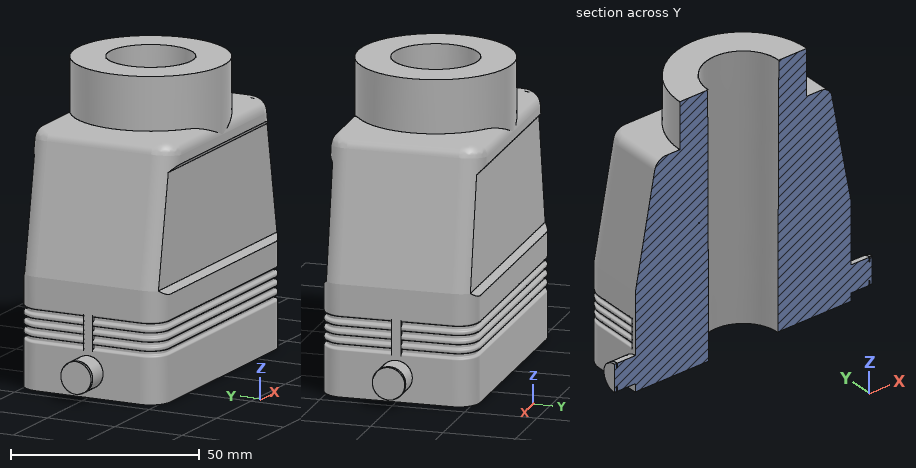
import cadquery as cq
import math

length_over_pins = 87.0
depth = 43.0
height = 85.0

body_length = 73.0
body_top = 70.0
skirt_top = 31.15
end_lean = 10.4
corner_radius = 6.0
top_edge_radius = 4.0

collar_radius = depth / 2
collar_base = body_top - top_edge_radius
bore_top_radius = 11.9
bore_bottom_radius = 11.6

panel_depth = 1.6
panel_bottom = skirt_top
panel_top = 62.2

groove_count = 4
groove_pitch = 2.5
groove_floor = 0.5
mouth_round = 0.5
floor_round = 0.35
groove_depth = mouth_round + floor_round
groove_band_center = 17.75
groove_gap = 2.6

pin_diameter = 9.0
pin_height = 7.05
slit_width = 0.1
slit_core_diameter = 6.0
pin_head = 0.9


def make_body():
    half = body_length / 2
    top_half = half - (body_top - skirt_top) * math.tan(math.radians(end_lean))
    outline = [
        (-half, 0),
        (half, 0),
        (half, skirt_top),
        (top_half, body_top),
        (-top_half, body_top),
        (-half, skirt_top),
    ]
    block = cq.Workplane("XZ").polyline(outline).close().extrude(depth / 2, both=True)
    rounded = block.faces("<Y or >Y").edges("not(|X)").fillet(corner_radius)
    return rounded.faces(">Z").edges().fillet(top_edge_radius)


def make_panel_cutter(side):
    """Prism along X with 45 degree flanks that sinks one long side (side is -1 or 1)."""
    face = side * depth / 2
    floor = side * (depth / 2 - panel_depth)
    section = [
        (floor, panel_bottom),
        (floor, panel_top),
        (face, panel_top + panel_depth),
        (face, panel_bottom - panel_depth),
    ]
    return cq.Workplane("YZ").polyline(section).close().extrude(body_length / 2, both=True)


def make_groove_cutter(center_height):
    """Ring around the skirt: convex rounds at the mouth, concave rounds at the floor."""
    skin = body_length / 2
    floor = skin - groove_depth
    wall = skin - mouth_round
    floor_half = groove_floor / 2
    wall_half = floor_half + floor_round
    mouth_half = wall_half + mouth_round
    section = (
        cq.Workplane("XZ", origin=(0, 0, center_height))
        .moveTo(skin, mouth_half)
        .radiusArc((wall, wall_half), mouth_round)
        .radiusArc((floor, floor_half), -floor_round)
        .lineTo(floor, -floor_half)
        .radiusArc((wall, -wall_half), -floor_round)
        .radiusArc((skin, -mouth_half), mouth_round)
        .close()
    )
    straight_x = body_length / 2 - corner_radius
    straight_y = depth / 2 - corner_radius
    path = cq.Workplane("XY", origin=(0, 0, center_height)).moveTo(skin, 0).lineTo(skin, straight_y)
    path = path.radiusArc((straight_x, depth / 2), -corner_radius).lineTo(-straight_x, depth / 2)
    path = path.radiusArc((-skin, straight_y), -corner_radius).lineTo(-skin, 0)
    half_ring = section.sweep(path)
    ring = half_ring.union(half_ring.mirror("XZ"))
    gap = cq.Workplane("XY").box(length_over_pins, groove_gap, height).translate((0, 0, height / 2))
    return ring.cut(gap)


def make_collar():
    return (
        cq.Workplane("XY", origin=(0, 0, collar_base))
        .circle(collar_radius)
        .extrude(height - collar_base)
    )


def make_bore():
    return (
        cq.Workplane("XY")
        .circle(bore_bottom_radius)
        .workplane(offset=height)
        .circle(bore_top_radius)
        .loft()
    )


def make_pins():
    pins = (
        cq.Workplane("YZ", origin=(0, 0, pin_height))
        .circle(pin_diameter / 2)
        .extrude(length_over_pins / 2, both=True)
    )
    slit_start = length_over_pins / 2 - pin_head - slit_width
    slit = (
        cq.Workplane("YZ", origin=(slit_start, 0, pin_height))
        .circle(pin_diameter / 2)
        .circle(slit_core_diameter / 2)
        .extrude(slit_width)
    )
    return pins.cut(slit).cut(slit.mirror("YZ"))


result = make_body()
for side in (-1, 1):
    result = result.cut(make_panel_cutter(side))
for index in range(groove_count):
    offset = (index - (groove_count - 1) / 2) * groove_pitch
    result = result.cut(make_groove_cutter(groove_band_center + offset))
result = result.union(make_collar()).union(make_pins()).cut(make_bore())